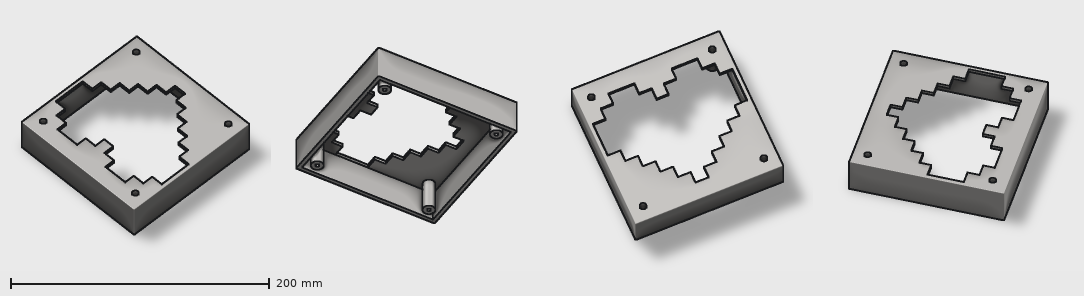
import cadquery as cq

side = 125.0
height = 30.0
wall = 3.5
plate_thickness = 3.0
edge_radius = 0.6

column_pitch = 10.64
cell_width = 11.2
row_pitch = 9.6
cell_depth = 10.0
opening_top = 48.25
top_row_count = 6
full_row_count = 3
bottom_end = -47.8

screw_x = 51.0
screw_y = 50.3
screw_shift_y = 0.3
post_diameter = 10.0
screw_diameter = 2.95
head_diameter = 5.45
head_depth = height / 2

plate_underside = height - plate_thickness
screw_points = [
    (side_x * screw_x, side_y * screw_y + screw_shift_y)
    for side_x in (-1, 1)
    for side_y in (-1, 1)
]


def make_shell():
    """Box with rounded top and upright edges, hollowed from below."""
    body = cq.Workplane("XY").box(side, side, height, centered=(True, True, False))
    body = body.edges("|Z or >Z").fillet(edge_radius)
    inner_side = side - 2 * wall
    cavity = cq.Workplane("XY").box(
        inner_side, inner_side, plate_underside, centered=(True, True, False)
    )
    return body.cut(cavity)


def half_width(column):
    """Distance from the centre line to the outer edge of a column's cell."""
    return column * column_pitch + cell_width / 2


def opening_outline():
    """Right-hand half of the stepped opening, from the top centre to the bottom centre."""
    points = []
    for row in range(top_row_count):
        step_y = opening_top - row * row_pitch
        if row > 0:
            points.append((half_width(row - 1), step_y))
        points.append((half_width(row), step_y))

    widest = top_row_count - 1
    last_full_row = widest + full_row_count - 1
    ledge_y = opening_top - last_full_row * row_pitch - cell_depth
    lower_ledge_y = ledge_y - row_pitch
    notch_half = column_pitch - cell_width / 2
    points += [
        (half_width(widest), ledge_y),
        (half_width(widest - 1), ledge_y),
        (half_width(widest - 1), lower_ledge_y),
        (half_width(widest - 2), lower_ledge_y),
        (half_width(widest - 2), bottom_end),
        (notch_half + column_pitch, bottom_end),
        (notch_half + column_pitch, lower_ledge_y),
        (notch_half, lower_ledge_y),
        (notch_half, ledge_y),
    ]
    return points


def make_opening():
    """Cutter for the symmetric stepped opening through the plate."""
    right = opening_outline()
    left = [(-x, y) for x, y in reversed(right)]
    outline = cq.Workplane("XY").workplane(offset=plate_underside).polyline(right + left).close()
    return outline.extrude(plate_thickness)


def cylinders(diameter, top, length):
    """One cylinder at each screw position, hanging down from the given height."""
    return (
        cq.Workplane("XY")
        .workplane(offset=top)
        .pushPoints(screw_points)
        .circle(diameter / 2)
        .extrude(-length)
    )


def add_screw_posts(body):
    """Posts with a screw hole and a deep counterbore for the screw head."""
    body = body.union(cylinders(post_diameter, plate_underside, plate_underside))
    body = body.cut(cylinders(screw_diameter, height, height))
    return body.cut(cylinders(head_diameter, height, head_depth))


result = add_screw_posts(make_shell().cut(make_opening()))